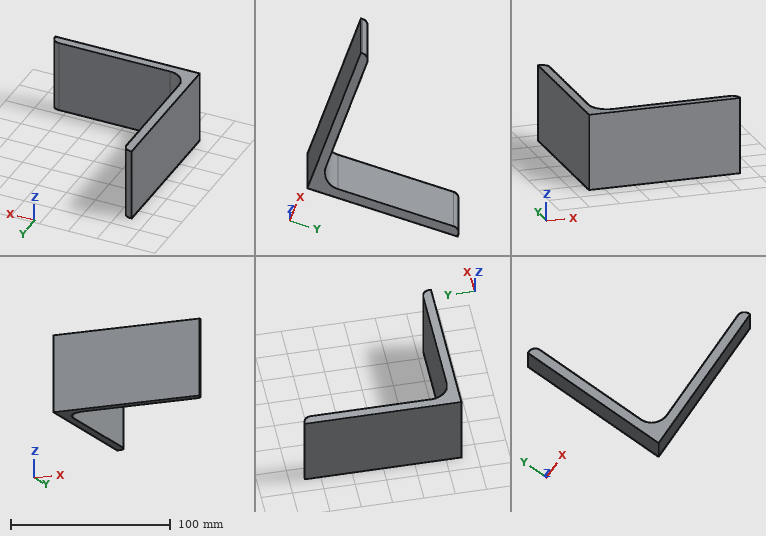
import cadquery as cq

leg_length = 100.0
leg_thickness = 6.0
section_length = 50.0
root_radius = 12.0
toe_radius = 5.0


def angle_bar():
    """Sharp-cornered L profile with its outer corner at the origin."""
    return (
        cq.Workplane("XY")
        .moveTo(0, 0)
        .lineTo(leg_length, 0)
        .lineTo(leg_length, leg_thickness)
        .lineTo(leg_thickness, leg_thickness)
        .lineTo(leg_thickness, leg_length)
        .lineTo(0, leg_length)
        .close()
        .extrude(section_length)
    )


def round_vertical_edge(body, x, y, radius):
    """Fillet the vertical edge that stands at (x, y)."""
    edge_midpoint = (x, y, section_length / 2)
    return body.edges(cq.selectors.NearestToPointSelector(edge_midpoint)).fillet(radius)


result = angle_bar()
result = round_vertical_edge(result, leg_thickness, leg_thickness, root_radius)
result = round_vertical_edge(result, leg_length, leg_thickness, toe_radius)
result = round_vertical_edge(result, leg_thickness, leg_length, toe_radius)